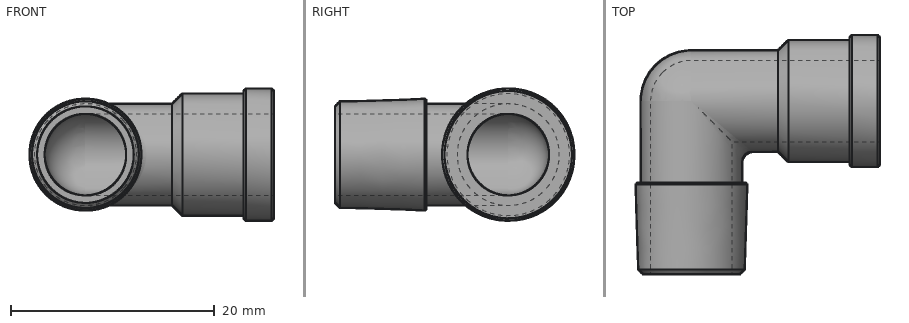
import cadquery as cq

pipe_radius = 5.0
bore_radius = 4.0
crotch_fillet = 1.0

socket_end_x = 18.5
socket_radius = 6.0
shoulder_start_x = 8.5
shoulder_length = socket_radius - pipe_radius
rim_radius = 6.5
rim_length = 3.0
rim_chamfer = 0.25

spigot_end_y = -17.0
spigot_length = 9.0
spigot_step_y = spigot_end_y + spigot_length
spigot_radius = 5.5
spigot_taper = 1 / 16
spigot_step_chamfer = 0.2
spigot_tip_chamfer = 0.5


def round_arms(radius, length_x, length_y):
    """Two joined cylinders running from the origin along +X and -Y."""
    along_x = cq.Workplane("YZ").circle(radius).extrude(length_x)
    along_y = cq.Workplane("XZ").circle(radius).extrude(length_y)
    return along_x.union(along_y)


def elbow_body():
    """Pipe bend with a filleted inner crotch and a spherical outer corner."""
    arms = round_arms(pipe_radius, shoulder_start_x, -spigot_step_y)
    filleted_arms = arms.edges("%ELLIPSE").fillet(crotch_fillet)
    return filleted_arms.union(cq.Workplane("XY").sphere(pipe_radius))


def bore():
    """Passage through both arms, with a spherical outer corner."""
    passages = round_arms(bore_radius, socket_end_x, -spigot_end_y)
    return passages.union(cq.Workplane("XY").sphere(bore_radius))


def socket():
    """Shouldered socket with a raised rim, revolved about X."""
    rim_start_x = socket_end_x - rim_length
    profile = [
        (shoulder_start_x, 0),
        (shoulder_start_x, pipe_radius),
        (shoulder_start_x + shoulder_length, socket_radius),
        (rim_start_x, socket_radius),
        (rim_start_x, rim_radius - rim_chamfer),
        (rim_start_x + rim_chamfer, rim_radius),
        (socket_end_x - rim_chamfer, rim_radius),
        (socket_end_x, rim_radius - rim_chamfer),
        (socket_end_x, 0),
    ]
    return cq.Workplane("XY").polyline(profile).close().revolve(360, (0, 0), (1, 0))


def spigot():
    """Tapered spigot with chamfered ends, revolved about Y."""
    taper_start_y = spigot_step_y - spigot_step_chamfer
    taper_end_y = spigot_end_y + spigot_tip_chamfer
    tip_radius = spigot_radius - (taper_start_y - taper_end_y) * spigot_taper / 2
    profile = [
        (0, spigot_step_y),
        (spigot_radius - spigot_step_chamfer, spigot_step_y),
        (spigot_radius, taper_start_y),
        (tip_radius, taper_end_y),
        (tip_radius - spigot_tip_chamfer, spigot_end_y),
        (0, spigot_end_y),
    ]
    return cq.Workplane("XY").polyline(profile).close().revolve(360, (0, 0), (0, 1))


result = elbow_body().union(socket()).union(spigot()).cut(bore())